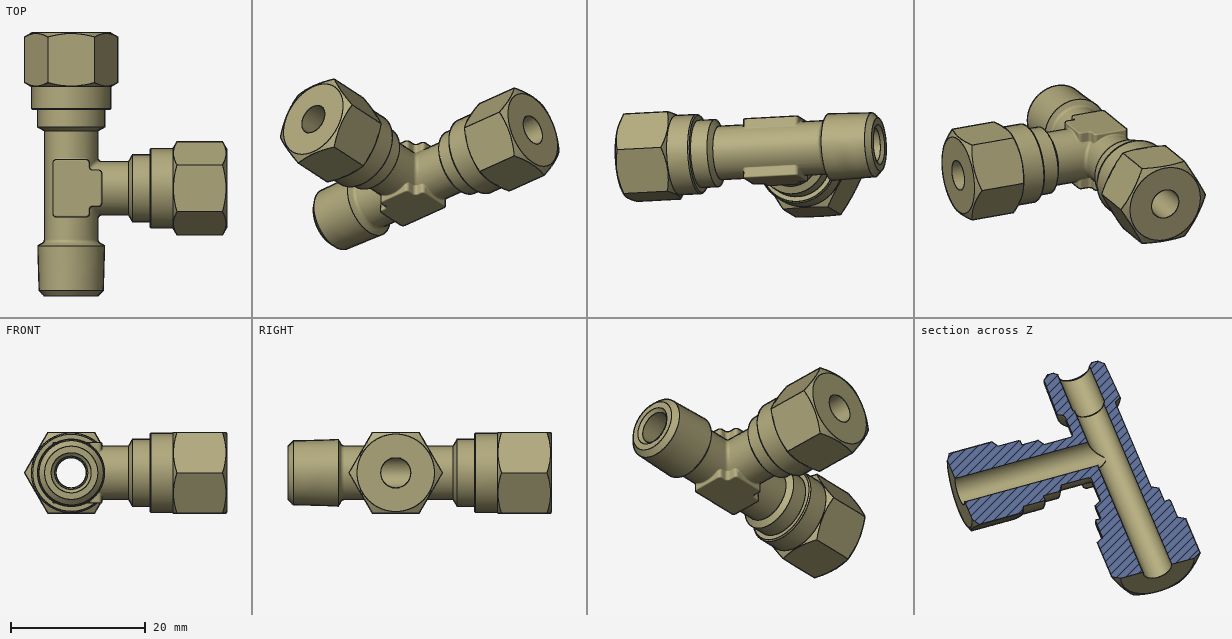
import cadquery as cq
import math

nut_end = 23.1
male_end = 16.0

tube_radius = 4.0
bore_radius = 2.23
stud_bore_radius = 2.45
tube_blend = 0.45

hex_flats = 12.0
hex_corners = hex_flats / math.cos(math.pi / 6)
hex_length = 8.0
hex_chamfer_angle = 30
hex_end_radius = 5.75
collar_radius = 5.9
collar_start = 11.65
collar_chamfer = 0.2
neck_radius = 5.0
neck_start = 8.52
neck_taper_length = 0.6

stud_root = 8.52
stud_root_radius = 4.95
stud_tip_radius = 4.75
stud_tip_chamfer = 0.82
shoulder_angle = 60
shoulder_round = 0.6
countersink_radius = 2.97

pad_height = 4.5
pad_half_width = 2.7
pad_half_length = 4.25
pad_reach = 4.55
pad_corner_round = 0.5
pad_edge_round = 0.2
pad_foot_round = 0.2


def revolve_profile(points):
    """Revolve (distance, radius) points about the X axis."""
    return cq.Workplane("XY").polyline(points).close().revolve(360, (0, 0, 0), (1, 0, 0))


def turn_about_z(shape, angle):
    """Turn a body built along X about the vertical axis."""
    return shape.rotate((0, 0, 0), (0, 0, 1), angle)


def make_compression_end():
    """Nut, collar and neck along +X, with the hexagon corners at +Y and -Y."""
    nut_start = nut_end - hex_length
    chamfer_slope = math.tan(math.radians(hex_chamfer_angle))
    corner_radius = hex_corners / 2
    hexagon = (
        cq.Workplane("YZ").workplane(offset=nut_start).polygon(6, hex_corners).extrude(hex_length)
    )
    outer_drop = (corner_radius - hex_end_radius) * chamfer_slope
    inner_drop = (corner_radius - collar_radius) * chamfer_slope
    chamfer_envelope = revolve_profile([
        (nut_start, 0),
        (nut_start, collar_radius),
        (nut_start + inner_drop, corner_radius),
        (nut_end - outer_drop, corner_radius),
        (nut_end, hex_end_radius),
        (nut_end, 0),
    ])
    sleeve = revolve_profile([
        (neck_start, 0),
        (neck_start, tube_radius),
        (neck_start + neck_taper_length, neck_radius),
        (collar_start, neck_radius),
        (collar_start, collar_radius - collar_chamfer),
        (collar_start + collar_chamfer, collar_radius),
        (nut_start, collar_radius),
        (nut_start, 0),
    ])
    return hexagon.intersect(chamfer_envelope).union(sleeve)


def make_stud():
    """Tapered stud along +X with a rounded conical shoulder at its root."""
    slope = math.radians(shoulder_angle)
    round_rise = shoulder_round * (1 - math.cos(slope))
    round_run = shoulder_round * math.sin(slope)
    cone_run = (stud_root_radius - tube_radius - round_rise) / math.tan(slope)
    round_end = stud_root - cone_run
    round_start = round_end - round_run
    half_rise = shoulder_round * (1 - math.cos(slope / 2))
    half_run = shoulder_round * math.sin(slope / 2)
    return (
        cq.Workplane("XY")
        .moveTo(round_start, 0)
        .lineTo(round_start, tube_radius)
        .threePointArc(
            (round_start + half_run, tube_radius + half_rise),
            (round_end, tube_radius + round_rise),
        )
        .lineTo(stud_root, stud_root_radius)
        .lineTo(male_end - stud_tip_chamfer, stud_tip_radius)
        .lineTo(male_end, stud_tip_radius - stud_tip_chamfer)
        .lineTo(male_end, 0)
        .close()
        .revolve(360, (0, 0, 0), (1, 0, 0))
    )


def make_pads():
    """T-shaped prism through the crossing; its two ends form the pads."""
    run_block = cq.Workplane("XY").box(2 * pad_half_width, 2 * pad_half_length, 2 * pad_height)
    arm = cq.Workplane("XY").box(
        pad_reach, 2 * pad_half_width, 2 * pad_height, centered=(False, True, True)
    )
    prism = run_block.union(arm)
    return prism.edges("|Z").fillet(pad_corner_round).faces("|Z").edges().fillet(pad_edge_round)


def make_crossing():
    """Run tube, branch tube and pads, with all their junctions rounded."""
    run_tube = (
        cq.Workplane("XZ")
        .workplane(offset=-neck_start)
        .circle(tube_radius)
        .extrude(neck_start + stud_root)
    )
    branch_tube = cq.Workplane("YZ").circle(tube_radius).extrude(neck_start)
    crossing = run_tube.union(branch_tube).union(make_pads())
    crossing = crossing.edges("%ELLIPSE").fillet(tube_blend)
    foot_low = tube_radius / 2
    foot_high = tube_radius + pad_edge_round / 2
    for side in (1, -1):
        feet = cq.selectors.BoxSelector(
            (-neck_start, -neck_start, side * foot_low),
            (neck_start, neck_start, side * foot_high),
        )
        crossing = crossing.edges(feet).edges("not |Z").fillet(pad_foot_round)
    return crossing


def make_bores():
    """Through bore of the run, wider inside the stud, and the branch bore that meets it."""
    step = stud_bore_radius - bore_radius
    mouth = countersink_radius - stud_bore_radius
    run_bore = revolve_profile([
        (-nut_end, 0),
        (-nut_end, bore_radius),
        (stud_root - step, bore_radius),
        (stud_root, stud_bore_radius),
        (male_end - mouth, stud_bore_radius),
        (male_end, countersink_radius),
        (male_end, 0),
    ])
    branch_bore = cq.Workplane("YZ").circle(bore_radius).extrude(nut_end)
    return turn_about_z(run_bore, -90).union(branch_bore)


result = (
    make_crossing()
    .union(make_compression_end())
    .union(turn_about_z(make_compression_end(), 90))
    .union(turn_about_z(make_stud(), -90))
    .cut(make_bores())
)